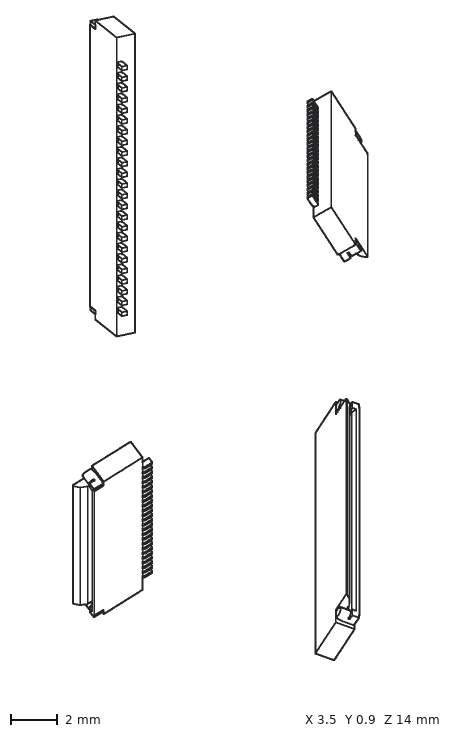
import cadquery as cq


length = 14.0
thickness = 0.9
mouth_x = 0.5
body_front_x = 1.0
body_back_x = 3.0

arm_half_length = length / 2 - 0.22
plate_half_length = length / 2 - 0.4
arm_setback = 0.03

nose_radius = 0.2
notch_bottom_y = 0.35
notch_top_y = 0.42
notch_depth = 0.27

groove_width = 0.05
groove_bottom_y = 0.62

slot_bottom_y = 0.3
slot_half_length = length / 2 - 0.69
lead_in_depth = 0.2
lead_in_drop = 0.13
lead_in_end_flare = 0.08

flap_half_length = length / 2 - 0.78
flap_tip_y = 0.84
flap_knee_x = 0.2
flap_knee_y = 0.63
flap_root_y = 0.49
flap_inner_x = 0.75
flap_inner_y = 0.45

tail_count = 24
tail_pitch = length / 28
tail_width = 0.18
tail_height = 0.25
tail_tip_x = 3.5
tail_root_rise = 0.05
tail_root_length = 0.13


def block(x0, x1, y0, y1, z0, z1):
    """Box given by its limits along each axis."""
    return cq.Workplane("XY").box(x1 - x0, y1 - y0, z1 - z0, centered=False).translate((x0, y0, z0))


def centred_block(x0, x1, y0, y1, half_length):
    """Box given by its X and Y limits, symmetric about Z = 0."""
    return block(x0, x1, y0, y1, -half_length, half_length)


def centred_prism(outline, half_length):
    """Closed XY outline extruded symmetrically about Z = 0."""
    return cq.Workplane("XY").polyline(outline).close().extrude(half_length, both=True)


def with_mirror(shape):
    """The shape together with its mirror image about Z = 0."""
    return shape.union(shape.mirror("XY"))


def make_mouth():
    """Front plate and the two round-nosed arms, open between the arms."""
    arms = centred_block(mouth_x, body_front_x, arm_setback, thickness, arm_half_length)
    plate = centred_block(mouth_x, body_front_x, 0, slot_bottom_y, plate_half_length)
    slot = centred_block(mouth_x, body_front_x, slot_bottom_y, thickness, slot_half_length)

    nose_x = mouth_x + nose_radius
    nose_z = arm_half_length - nose_radius
    nose_height = thickness - notch_top_y
    nose_block = block(mouth_x, nose_x, notch_top_y, thickness, slot_half_length, arm_half_length)
    nose_round = (
        cq.Workplane("XZ", origin=(nose_x, thickness, nose_z)).circle(nose_radius).extrude(nose_height)
    )
    nose_corners = nose_block.cut(nose_round)
    notch = block(mouth_x, mouth_x + notch_depth, notch_bottom_y, notch_top_y,
                  slot_half_length, arm_half_length)

    mouth = arms.union(plate).cut(slot).cut(make_lead_in()).cut(make_groove())
    return mouth.cut(with_mirror(nose_corners)).cut(with_mirror(notch))


def make_lead_in():
    """Flared entry that widens the slot towards the plate and at both ends."""
    outer_height = notch_top_y - slot_bottom_y + lead_in_drop
    inner_height = notch_top_y - slot_bottom_y
    return (
        cq.Workplane("YZ", origin=(mouth_x, notch_top_y - outer_height / 2, 0))
        .rect(outer_height, 2 * (slot_half_length + lead_in_end_flare))
        .workplane(offset=lead_in_depth)
        .center((outer_height - inner_height) / 2, 0)
        .rect(inner_height, 2 * slot_half_length)
        .loft()
    )


def make_flap():
    """Flap that tapers to a blunt tip in front of the mouth."""
    outline = [
        (0, thickness),
        (0, flap_tip_y),
        (flap_knee_x, flap_knee_y),
        (mouth_x, flap_root_y),
        (flap_inner_x, flap_root_y),
        (flap_inner_x, flap_inner_y),
        (body_front_x, flap_inner_y),
        (body_front_x, thickness),
    ]
    return centred_prism(outline, flap_half_length)


def make_groove():
    """V groove along the joint between the arms and the body."""
    outline = [
        (body_front_x - groove_width, thickness),
        (body_front_x, thickness),
        (body_front_x, groove_bottom_y),
    ]
    return centred_prism(outline, arm_half_length)


def make_tail(centre_z):
    """One solder tail, with its underside rising towards the body."""
    outline = [
        (body_back_x, tail_root_rise),
        (body_back_x + tail_root_length, 0),
        (tail_tip_x, 0),
        (tail_tip_x, tail_height),
        (body_back_x, tail_height),
    ]
    return centred_prism(outline, tail_width / 2).translate((0, 0, centre_z))


body = centred_block(body_front_x, body_back_x, 0, thickness, length / 2)
result = body.union(make_mouth()).union(make_flap())

for index in range(tail_count):
    tail_z = (index - (tail_count - 1) / 2) * tail_pitch
    result = result.union(make_tail(tail_z))